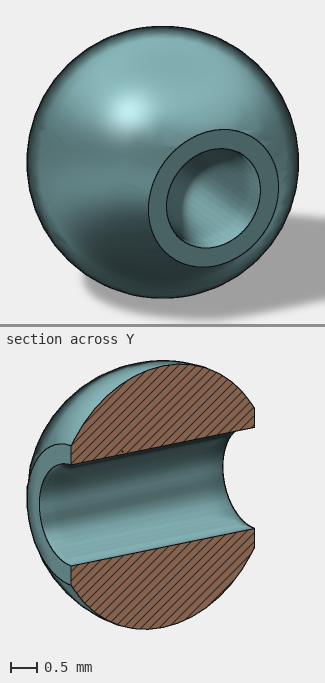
import cadquery as cq

BALL_DIAMETER = 5.2
WIDTH_ACROSS_FLATS = 4.4
BORE_DIAMETER = 2.0


def flatted_ball():
    """Sphere centred on the origin, truncated by flats facing -X and +X."""
    ball = cq.Workplane("XY").sphere(BALL_DIAMETER / 2)
    slab = cq.Workplane("XY").box(WIDTH_ACROSS_FLATS, BALL_DIAMETER * 2, BALL_DIAMETER * 2)
    return ball.intersect(slab)


def bore():
    """Cylinder along X that runs from one flat to the other."""
    return (
        cq.Workplane("YZ")
        .circle(BORE_DIAMETER / 2)
        .extrude(WIDTH_ACROSS_FLATS / 2, both=True)
    )


result = flatted_ball().cut(bore())